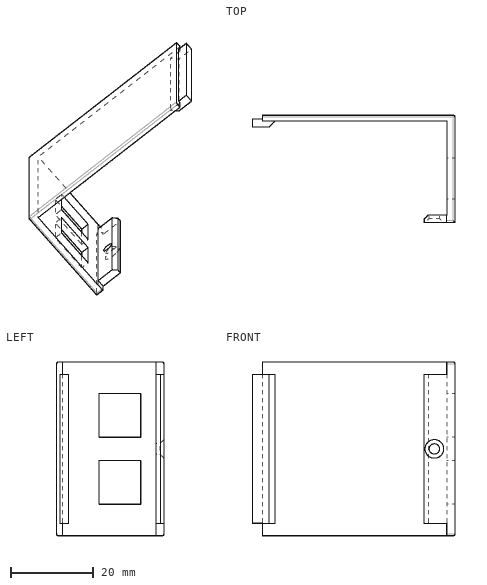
import cadquery as cq
import math

length = 48.91
depth = 25.95
height = 42.0

plate_thickness = 1.45
wall_thickness = 2.0
edge_radius = 0.5

tab_setback = 0.9
tab_thickness = 2.0
tab_reach = 2.4
tab_bevel_end = 5.45

lip_thickness = 1.9
lip_length = 7.45
lip_bevel = 1.0
foot_thickness = 2.05

end_margin = 3.0
strip_height = height - 2 * end_margin

window_width = 10.0
window_height = 10.5
window_pitch = 16.15
window_setback = 15.3

screw_diameter = 2.5
countersink_diameter = 4.5
countersink_angle = 90.0
screw_inset = 5.0


def prism(outline, prism_height):
    """Extrude an XY outline along Z, centred on Z = 0."""
    return cq.Workplane("XY").polyline(outline).close().extrude(prism_height / 2, both=True)


def make_shell():
    """L-shaped back plate and side wall, with the outer edges rounded."""
    plate_inside = depth - plate_thickness
    wall_inside = length - wall_thickness
    foot_inside = length - foot_thickness
    outline = [
        (tab_reach, depth),
        (length, depth),
        (length, 0),
        (foot_inside, 0),
        (foot_inside, lip_thickness),
        (wall_inside, lip_thickness),
        (wall_inside, plate_inside),
        (tab_reach, plate_inside),
    ]
    shell = prism(outline, height)
    shell = shell.edges("|Z").edges(">X and >Y").fillet(edge_radius)
    return shell.faces(">Y or >X or <Y").edges("#Z").edges(">Z or <Z").fillet(edge_radius)


def make_tab():
    """Tab strip set in from the plate's back, bevelled at 45 degrees towards the plate."""
    tab_back = depth - tab_setback
    tab_front = tab_back - tab_thickness
    plate_inside = depth - plate_thickness
    bevel = plate_inside - tab_front
    outline = [
        (0, tab_back),
        (tab_bevel_end, tab_back),
        (tab_bevel_end, plate_inside),
        (tab_bevel_end - bevel, tab_front),
        (0, tab_front),
    ]
    return prism(outline, strip_height)


def make_lip():
    """Lip strip turned in from the side wall, with its inner tip bevelled."""
    tip = length - lip_length
    outline = [
        (tip, 0),
        (length, 0),
        (length, lip_thickness),
        (tip + lip_bevel, lip_thickness),
        (tip, lip_thickness - lip_bevel),
    ]
    return prism(outline, strip_height)


def cut_windows(body):
    """Two rectangular windows through the side wall."""
    return body.cut(
        cq.Workplane("YZ", origin=(length - wall_thickness, depth - window_setback, 0))
        .rarray(1, window_pitch, 1, 2)
        .rect(window_width, window_height)
        .extrude(wall_thickness)
    )


def cut_screw_hole(body):
    """Countersunk hole through the lip, opening on its front face."""
    center = cq.Vector(length - screw_inset, 0, 0)
    inward = cq.Vector(0, 1, 0)
    screw_radius = screw_diameter / 2
    head_radius = countersink_diameter / 2
    sink_depth = (head_radius - screw_radius) / math.tan(math.radians(countersink_angle / 2))
    bore = cq.Solid.makeCylinder(screw_radius, lip_thickness, center, inward)
    countersink = cq.Solid.makeCone(head_radius, screw_radius, sink_depth, center, inward)
    return body.cut(cq.Workplane(bore)).cut(cq.Workplane(countersink))


body = make_shell().union(make_tab()).union(make_lip())
body = cut_windows(body)
result = cut_screw_hole(body)